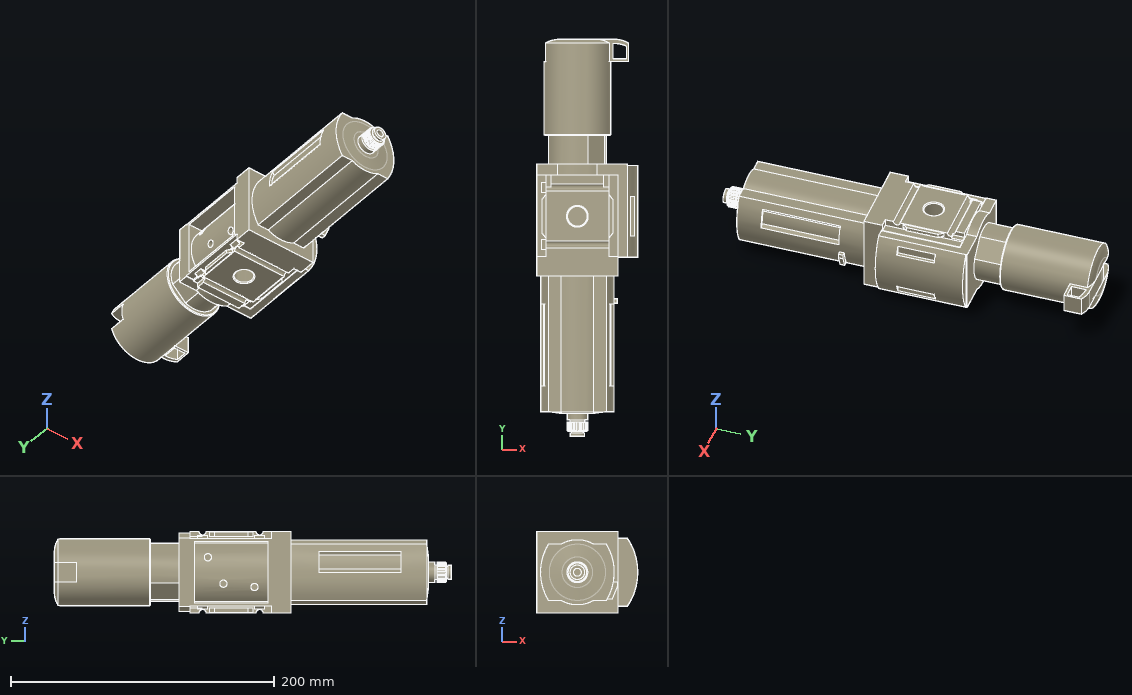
import cadquery as cq
import math


HALF_WIDTH = 31.0
BASE_Y_MIN = -45.4
BASE_Y_MAX = -30.7
HOUSING_Y_MAX = 31.5
CORE_HALF_HEIGHT = 25.5

CAP_Y_MAX = 39.8
CAP_RADIUS = 30.0
CAP_HALF_HEIGHT = 26.0
COVER_X_FLAT = 38.0
COVER_X_MAX = 46.0
COVER_Y_MIN = -31.3
COVER_Y_MAX = 38.7
GRIP_X = 40.5
GRIP_Z = 15.5
GRIP_HALF_LENGTH = 15.0

PAD_HALF_WIDTH = 24.0
TONGUE_HALF_WIDTH = 20.0
TONGUE_Y_MIN = 22.4
STEP_Z = 27.0
GROOVE_RADIUS = 2.6
GROOVE_Y = (21.8, -21.5)
PORT_DIAMETER = 14.95
PORT_MOUTH_DIAMETER = 16.5
PORT_DEPTH = 15.0
BUMP_X = 27.0
BUMP_HALF_BASE = 16.5
BUMP_HALF_TIP = 12.7
BUMP_Z_MIN = 27.3
BUMP_Z_MAX = 30.4
LUG_LENGTH = 7.5
LUG_X = -27.4
LUG_HEIGHT = 2.3

RECESS_HALF_LENGTH = 28.0
RECESS_HALF_HEIGHT = 23.5
RECESS_CORE_RADIUS = 29.0
RECESS_CORE_HALF_HEIGHT = 22.3
PIN_HOLE_DIAMETER = 5.5
PIN_HOLE_DEPTH = 6.0
PIN_HOLE_YZ = ((17.8, 11.4), (6.0, -8.7), (-17.6, -11.2))

NECK_RADIUS = 22.1
NECK_FLAT_DISTANCE = 20.3
KNOB_RADIUS = 51.0 / 2
KNOB_Y_MIN = 61.4
KNOB_Y_EDGE = 131.6
KNOB_Y_MAX = 134.63
KNOB_CHAMFER = 0.7
KNOB_FLAT_RADIUS = 15.0

LOCK_HALF_THICKNESS = 7.5
LOCK_Y_MIN = 117.6
LOCK_TRAVEL = 13.4
LOCK_WINDOW_X_MIN = 27.1
LOCK_WINDOW_X_MAX = 37.3
LOCK_WINDOW_Y_MIN = 119.8
LOCK_WINDOW_TOP_WALL = 3.4

BOWL_Y_MIN = -148.6
BOWL_FLAT_Z = 21.4
BOWL_CORNER_X = 22.0
BOWL_SIDE_X = 28.0
BOWL_CROWN_RADIUS = 24.7
BOWL_END_Y = -149.9
BOWL_END_RADIUS = 11.6
SIGHT_Y_MIN = -128.9
SIGHT_Y_MAX = -66.6
SIGHT_TOP_EDGE = (25.0, 16.2)
SIGHT_FLOOR_TOP = (23.3, 13.0)
SIGHT_FLOOR_MIDDLE = (25.0, 8.0)
SIGHT_FLOOR_BOTTOM = (25.6, 2.3)
SIGHT_BOTTOM_EDGE = (BOWL_SIDE_X, 0.0)
LATCH_Y_MIN = -66.2
LATCH_Y_MAX = -62.5
LATCH_X = 30.3
LATCH_ROOT_X = 21.0
LATCH_BOTTOM_X = 26.5
LATCH_TOP_Z = -7.5
LATCH_SLOPE_Z = -11.0
LATCH_BOTTOM_Z = -20.5

DRAIN_DIAMETER = 15.8
DRAIN_GAP_DIAMETER = 11.4
DRAIN_TIP_DIAMETER = 11.0
DRAIN_BORE_DIAMETER = 6.0
DRAIN_STEM_END_Y = -154.7
DRAIN_NUT_START_Y = -156.4
DRAIN_NUT_END_Y = -163.6
DRAIN_TIP_START_Y = -164.5
DRAIN_END_Y = -167.23
DRAIN_BORE_DEPTH = 10.0
KNURL_COUNT = 20
KNURL_WIDTH = 1.1
KNURL_DEPTH = 0.9

OVERLAP = 1.0


def block(x_min, x_max, y_min, y_max, z_min, z_max):
    size = (x_max - x_min, y_max - y_min, z_max - z_min)
    return cq.Workplane("XY").box(*size, centered=False).translate((x_min, y_min, z_min))


def section_along_y(y_min):
    """Sketch plane with local axes X and Z; it faces -Y, so negative extrusion runs along +Y."""
    return cq.Workplane(cq.Plane(origin=(0, y_min, 0), xDir=(1, 0, 0), normal=(0, -1, 0)))


def rod(radius, y_min, y_max):
    return section_along_y(y_min).circle(radius).extrude(y_min - y_max)


def mirrored_pair(shape, plane):
    return shape.union(shape.mirror(plane))




def make_core():
    base = block(-HALF_WIDTH, HALF_WIDTH, BASE_Y_MIN, BASE_Y_MAX, -HALF_WIDTH, HALF_WIDTH)
    core = block(
        -HALF_WIDTH, HALF_WIDTH, BASE_Y_MAX, HOUSING_Y_MAX, -CORE_HALF_HEIGHT, CORE_HALF_HEIGHT
    )
    return base.union(core)


def make_cap():
    plate = block(
        -HALF_WIDTH, COVER_X_FLAT, HOUSING_Y_MAX, CAP_Y_MAX, -CAP_HALF_HEIGHT, CAP_HALF_HEIGHT
    )
    return plate.union(rod(CAP_RADIUS, HOUSING_Y_MAX, CAP_Y_MAX))


def make_gauge_cover():
    cover = (
        section_along_y(COVER_Y_MIN)
        .moveTo(HALF_WIDTH, -CAP_HALF_HEIGHT)
        .lineTo(COVER_X_FLAT, -CAP_HALF_HEIGHT)
        .threePointArc((COVER_X_MAX, 0), (COVER_X_FLAT, CAP_HALF_HEIGHT))
        .lineTo(HALF_WIDTH, CAP_HALF_HEIGHT)
        .close()
        .extrude(COVER_Y_MIN - COVER_Y_MAX)
    )
    grip = block(
        GRIP_X, COVER_X_MAX, -GRIP_HALF_LENGTH, GRIP_HALF_LENGTH, GRIP_Z, CAP_HALF_HEIGHT
    )
    return cover.cut(mirrored_pair(grip, "XY"))


def make_bump():
    """Trapezoid rib on the +X flank of a pad."""
    return (
        cq.Workplane("XY")
        .workplane(offset=BUMP_Z_MIN)
        .polyline(
            [
                (PAD_HALF_WIDTH - OVERLAP, -BUMP_HALF_BASE),
                (PAD_HALF_WIDTH, -BUMP_HALF_BASE),
                (BUMP_X, -BUMP_HALF_TIP),
                (BUMP_X, BUMP_HALF_TIP),
                (PAD_HALF_WIDTH, BUMP_HALF_BASE),
                (PAD_HALF_WIDTH - OVERLAP, BUMP_HALF_BASE),
            ]
        )
        .close()
        .extrude(BUMP_Z_MAX - BUMP_Z_MIN)
    )


def make_lug(y_center):
    """Wedge that rises from the core to the -X flank of a pad beside a groove."""
    y_min = y_center - LUG_LENGTH / 2
    return (
        section_along_y(y_min)
        .moveTo(LUG_X, CORE_HALF_HEIGHT)
        .lineTo(-PAD_HALF_WIDTH, CORE_HALF_HEIGHT + LUG_HEIGHT)
        .lineTo(-PAD_HALF_WIDTH, CORE_HALF_HEIGHT)
        .close()
        .extrude(-LUG_LENGTH)
    )


def make_groove(y_center):
    """Half-round groove across the whole pad."""
    return (
        cq.Workplane("YZ")
        .workplane(offset=-HALF_WIDTH)
        .center(y_center, HALF_WIDTH)
        .circle(GROOVE_RADIUS)
        .extrude(2 * HALF_WIDTH)
    )


def make_pad():
    """Upper connection pad with a stepped end, two half-round grooves and side ribs."""
    pad = block(
        -PAD_HALF_WIDTH, PAD_HALF_WIDTH, BASE_Y_MAX, TONGUE_Y_MIN, CORE_HALF_HEIGHT, HALF_WIDTH
    )
    step = block(
        -PAD_HALF_WIDTH, PAD_HALF_WIDTH, TONGUE_Y_MIN, HOUSING_Y_MAX, CORE_HALF_HEIGHT, STEP_Z
    )
    tongue = block(
        -TONGUE_HALF_WIDTH, TONGUE_HALF_WIDTH, TONGUE_Y_MIN, HOUSING_Y_MAX, STEP_Z, HALF_WIDTH
    )
    pad = pad.union(step).union(tongue).union(mirrored_pair(make_bump(), "YZ"))
    for y_center in GROOVE_Y:
        pad = pad.cut(make_groove(y_center)).union(make_lug(y_center))
    return pad


def make_port():
    """Upper threaded port, cut as its core diameter with a conical mouth."""
    mouth_depth = (PORT_MOUTH_DIAMETER - PORT_DIAMETER) / 2
    return (
        cq.Workplane("XZ")
        .moveTo(0, HALF_WIDTH)
        .lineTo(PORT_MOUTH_DIAMETER / 2, HALF_WIDTH)
        .lineTo(PORT_DIAMETER / 2, HALF_WIDTH - mouth_depth)
        .lineTo(PORT_DIAMETER / 2, HALF_WIDTH - PORT_DEPTH)
        .lineTo(0, HALF_WIDTH - PORT_DEPTH)
        .close()
        .revolve(360, (0, 0, 0), (0, 1, 0))
    )


def make_side_recess():
    """Pocket in the -X face whose floor is the round core, with three pin holes."""
    floor_x = -math.sqrt(RECESS_CORE_RADIUS**2 - RECESS_CORE_HALF_HEIGHT**2)
    recess = block(
        -HALF_WIDTH,
        floor_x,
        -RECESS_HALF_LENGTH,
        RECESS_HALF_LENGTH,
        -RECESS_HALF_HEIGHT,
        RECESS_HALF_HEIGHT,
    )
    recess = recess.cut(rod(RECESS_CORE_RADIUS, -HALF_WIDTH, HALF_WIDTH))
    pin_holes = (
        cq.Workplane("YZ")
        .workplane(offset=-HALF_WIDTH)
        .pushPoints(PIN_HOLE_YZ)
        .circle(PIN_HOLE_DIAMETER / 2)
        .extrude(HALF_WIDTH - RECESS_CORE_RADIUS + PIN_HOLE_DEPTH)
    )
    return recess.union(pin_holes)




def make_neck():
    neck = rod(NECK_RADIUS, CAP_Y_MAX - OVERLAP, KNOB_Y_MIN + OVERLAP)
    across_flats = (
        cq.Workplane("XY")
        .box(2 * NECK_FLAT_DISTANCE, 2 * KNOB_Y_MAX, 4 * NECK_RADIUS)
        .rotate((0, 0, 0), (0, 1, 0), -45)
    )
    return neck.intersect(across_flats)


def crown_arc_middle():
    """Middle point of the arc that drops from the flat knob end to its edge."""
    width = KNOB_RADIUS - KNOB_FLAT_RADIUS
    drop = KNOB_Y_MAX - KNOB_Y_EDGE
    arc_radius = (width**2 + drop**2) / (2 * drop)
    half_angle = math.asin(width / arc_radius) / 2
    radius = KNOB_FLAT_RADIUS + arc_radius * math.sin(half_angle)
    return (radius, KNOB_Y_MAX - arc_radius * (1 - math.cos(half_angle)))


def make_lock_slot():
    return block(
        -KNOB_RADIUS,
        KNOB_RADIUS,
        LOCK_Y_MIN,
        KNOB_Y_MAX,
        -LOCK_HALF_THICKNESS,
        LOCK_HALF_THICKNESS,
    )


def make_knob():
    knob = (
        cq.Workplane("XY")
        .moveTo(0, KNOB_Y_MIN)
        .lineTo(KNOB_RADIUS - KNOB_CHAMFER, KNOB_Y_MIN)
        .lineTo(KNOB_RADIUS, KNOB_Y_MIN + KNOB_CHAMFER)
        .lineTo(KNOB_RADIUS, KNOB_Y_EDGE)
        .threePointArc(crown_arc_middle(), (KNOB_FLAT_RADIUS, KNOB_Y_MAX))
        .lineTo(0, KNOB_Y_MAX)
        .close()
        .revolve(360, (0, 0, 0), (0, 1, 0))
    )
    return knob.cut(make_lock_slot())


def make_lock_plate():
    """Plate pulled out of the knob towards +X, with a window for a padlock."""
    x_min = LOCK_TRAVEL - KNOB_RADIUS
    x_max = LOCK_TRAVEL + KNOB_RADIUS
    middle_radius, middle_y = crown_arc_middle()
    middle_x = LOCK_TRAVEL + middle_radius
    plate = (
        cq.Workplane("XY")
        .moveTo(x_min, LOCK_Y_MIN)
        .lineTo(x_max, LOCK_Y_MIN)
        .lineTo(x_max, KNOB_Y_EDGE)
        .threePointArc((middle_x, middle_y), (LOCK_TRAVEL + KNOB_FLAT_RADIUS, KNOB_Y_MAX))
        .lineTo(LOCK_TRAVEL - KNOB_FLAT_RADIUS, KNOB_Y_MAX)
        .threePointArc((LOCK_TRAVEL - middle_radius, middle_y), (x_min, KNOB_Y_EDGE))
        .close()
        .extrude(LOCK_HALF_THICKNESS, both=True)
    )
    window = (
        cq.Workplane("XY")
        .moveTo(LOCK_WINDOW_X_MIN, LOCK_WINDOW_Y_MIN)
        .lineTo(LOCK_WINDOW_X_MAX, LOCK_WINDOW_Y_MIN)
        .lineTo(LOCK_WINDOW_X_MAX, KNOB_Y_EDGE - LOCK_WINDOW_TOP_WALL + OVERLAP)
        .threePointArc(
            (middle_x, middle_y - LOCK_WINDOW_TOP_WALL),
            (LOCK_WINDOW_X_MIN, KNOB_Y_MAX - LOCK_WINDOW_TOP_WALL),
        )
        .close()
        .extrude(LOCK_HALF_THICKNESS, both=True)
    )
    return plate.cut(window)




def extend(inner, edge):
    """Point beyond the bowl surface on the line from an inner point through its edge."""
    return (2 * edge[0] - inner[0], 2 * edge[1] - inner[1])


def make_sight_pocket():
    """Pocket with sloping long walls and a curved floor in the +X side of the bowl."""
    return (
        section_along_y(SIGHT_Y_MIN)
        .moveTo(*extend(SIGHT_FLOOR_BOTTOM, SIGHT_BOTTOM_EDGE))
        .lineTo(*SIGHT_FLOOR_BOTTOM)
        .threePointArc(SIGHT_FLOOR_MIDDLE, SIGHT_FLOOR_TOP)
        .lineTo(*extend(SIGHT_FLOOR_TOP, SIGHT_TOP_EDGE))
        .close()
        .extrude(SIGHT_Y_MIN - SIGHT_Y_MAX)
    )


def make_bowl():
    x, z = BOWL_CORNER_X, BOWL_FLAT_Z
    y_max = BASE_Y_MIN + OVERLAP
    bowl = (
        section_along_y(BOWL_Y_MIN)
        .moveTo(-x, -z)
        .lineTo(x, -z)
        .threePointArc((BOWL_SIDE_X, 0), (x, z))
        .lineTo(-x, z)
        .threePointArc((-BOWL_SIDE_X, 0), (-x, -z))
        .close()
        .extrude(BOWL_Y_MIN - y_max)
    )
    bowl = bowl.union(rod(BOWL_CROWN_RADIUS, BOWL_Y_MIN, y_max))
    return bowl.cut(mirrored_pair(make_sight_pocket(), "YZ"))


def make_latch():
    """Release button with a sloping face low on the +X side of the bowl."""
    return (
        section_along_y(LATCH_Y_MIN)
        .moveTo(LATCH_ROOT_X, LATCH_TOP_Z)
        .lineTo(LATCH_X, LATCH_TOP_Z)
        .lineTo(LATCH_X, LATCH_SLOPE_Z)
        .lineTo(LATCH_BOTTOM_X, LATCH_BOTTOM_Z)
        .lineTo(LATCH_ROOT_X, LATCH_BOTTOM_Z)
        .close()
        .extrude(LATCH_Y_MIN - LATCH_Y_MAX)
    )


def make_drain():
    """Conical bowl end, drain stem, knurled nut and bored tip, all turned about Y."""
    outer = DRAIN_DIAMETER / 2
    gap = DRAIN_GAP_DIAMETER / 2
    tip = DRAIN_TIP_DIAMETER / 2
    drain = (
        cq.Workplane("XY")
        .polyline(
            [
                (0, BOWL_Y_MIN + OVERLAP),
                (BOWL_FLAT_Z, BOWL_Y_MIN + OVERLAP),
                (BOWL_FLAT_Z, BOWL_Y_MIN),
                (BOWL_END_RADIUS, BOWL_END_Y),
                (outer, BOWL_END_Y),
                (outer, DRAIN_STEM_END_Y),
                (gap, DRAIN_STEM_END_Y),
                (gap, DRAIN_NUT_START_Y),
                (outer, DRAIN_NUT_START_Y),
                (outer, DRAIN_NUT_END_Y + KNURL_DEPTH),
                (outer - KNURL_DEPTH, DRAIN_NUT_END_Y),
                (tip - KNURL_DEPTH, DRAIN_NUT_END_Y),
                (tip - KNURL_DEPTH, DRAIN_TIP_START_Y),
                (tip, DRAIN_TIP_START_Y),
                (tip, DRAIN_END_Y),
                (0, DRAIN_END_Y),
            ]
        )
        .close()
        .revolve(360, (0, 0, 0), (0, 1, 0))
    )
    for index in range(KNURL_COUNT):
        notch = block(
            outer - KNURL_DEPTH,
            outer + OVERLAP,
            DRAIN_NUT_END_Y,
            DRAIN_NUT_START_Y,
            -KNURL_WIDTH / 2,
            KNURL_WIDTH / 2,
        ).rotate((0, 0, 0), (0, 1, 0), index * 360 / KNURL_COUNT)
        drain = drain.cut(notch)
    return drain.cut(rod(DRAIN_BORE_DIAMETER / 2, DRAIN_END_Y, DRAIN_END_Y + DRAIN_BORE_DEPTH))




def make_unit():
    unit = make_core().union(make_cap()).union(make_gauge_cover())
    unit = unit.union(mirrored_pair(make_pad(), "XY"))
    unit = unit.cut(mirrored_pair(make_port(), "XY")).cut(make_side_recess())
    unit = unit.union(make_neck()).union(make_knob())
    return unit.union(make_bowl()).union(make_latch()).union(make_drain())


unit = make_unit()
lock_plate = make_lock_plate()

result = cq.Compound.makeCompound([unit.val(), lock_plate.val()])